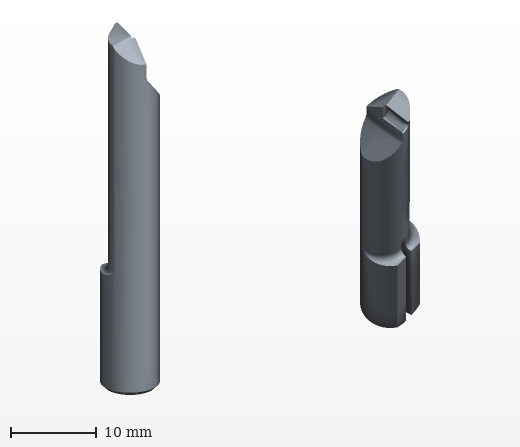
import cadquery as cq
import math

total_length = 45.0
shank_radius = 3.5
flat_x = -2.85
end_chamfer = 0.5

neck_radius = 3.15
neck_center_x = 1.1
neck_base_z = 14.75
neck_fillet = 0.8

groove_floor_width = 0.7
groove_mouth_width = 1.0
groove_floor_x = -1.75
groove_runout_z = 15.05
groove_top_z = 17.3

recess_y = 0.1
recess_corner_z = 39.9
recess_slope = math.radians(48)
recess_fillet = 1.0

tip = cq.Vector(-2.8, 0.0, total_length)
top_fall_x = 0.102
top_fall_y = 0.145
back_chamfer_x = 1.0
back_chamfer_z = 44.4
back_fall = 1.0
relief_contact_angle = math.radians(40.7)
relief_normal = cq.Vector(-1.47, -0.2, -0.405)
ledge_z = 41.65
ledge_rise = 0.45

notch_end_x = 1.0
notch_root_y = -0.75
notch_root_z = 42.5
notch_lower_z = 41.9
notch_yaw = -2.9

margin = 10.0
overrun = 1.0
tip_stock = 0.1
neck_left_x = neck_center_x - neck_radius


def half_space(origin, normal):
    """Large block on the side of a plane that its normal points to."""
    plane = cq.Plane(origin=origin, normal=normal)
    return cq.Workplane(plane).rect(4 * margin, 4 * margin).extrude(4 * margin)


def make_shank_bar():
    bar = cq.Workplane("XY").circle(shank_radius).extrude(total_length + overrun)
    return bar.faces("<Z").chamfer(end_chamfer)


def make_neck_envelope():
    """Wide foot below the neck, a concave flare, then the neck round."""
    flare_radius = neck_radius + neck_fillet
    arc_offset = neck_fillet * (1 - math.sqrt(0.5))
    foot_radius = 2 * shank_radius
    profile = (
        cq.Workplane("XZ")
        .moveTo(0, 0)
        .lineTo(foot_radius, 0)
        .lineTo(foot_radius, neck_base_z)
        .lineTo(flare_radius, neck_base_z)
        .threePointArc(
            (neck_radius + arc_offset, neck_base_z + arc_offset),
            (neck_radius, neck_base_z + neck_fillet),
        )
        .lineTo(neck_radius, total_length + overrun)
        .lineTo(0, total_length + overrun)
        .close()
    )
    return profile.revolve(360, (0, 0, 0), (0, 1, 0)).translate((neck_center_x, 0, 0))


def make_tip_block():
    """Upright block between the neck and the tip, its outer side tangent to the neck."""
    contact_x = neck_center_x - neck_radius * math.cos(relief_contact_angle)
    contact_y = -neck_radius * math.sin(relief_contact_angle)
    outer_x = tip.x - tip_stock
    outer_y = contact_y + (contact_x - outer_x) / math.tan(relief_contact_angle)
    outline = [
        (contact_x, contact_y),
        (outer_x, outer_y),
        (outer_x, recess_y),
        (contact_x, recess_y),
    ]
    block = cq.Workplane("XY").polyline(outline).close().extrude(total_length + overrun)
    return block.cut(half_space((neck_left_x, 0, ledge_z), (ledge_rise, 0, -1)))


def make_groove():
    flare = (groove_mouth_width - groove_floor_width) / (groove_floor_x - flat_x)
    outer_x = flat_x - overrun
    outer_width = groove_floor_width + flare * (groove_floor_x - outer_x)
    section = [
        (groove_floor_x, -groove_floor_width / 2),
        (groove_floor_x, groove_floor_width / 2),
        (outer_x, outer_width / 2),
        (outer_x, -outer_width / 2),
    ]
    floor_profile = [
        (groove_floor_x, 0),
        (groove_floor_x, groove_runout_z),
        (neck_left_x, groove_top_z),
        (outer_x, groove_top_z),
        (outer_x, 0),
    ]
    channel = cq.Workplane("XY").polyline(section).close().extrude(groove_top_z)
    side = cq.Workplane("XZ").polyline(floor_profile).close().extrude(margin, both=True)
    return channel.intersect(side)


def make_recess():
    low_z = recess_corner_z - margin * math.tan(recess_slope)
    body = (
        cq.Workplane("YZ")
        .moveTo(recess_y, recess_corner_z)
        .lineTo(recess_y + margin, low_z)
        .lineTo(recess_y + margin, total_length + margin)
        .lineTo(recess_y, total_length + margin)
        .close()
        .extrude(margin, both=True)
    )
    corner = cq.selectors.NearestToPointSelector((0, recess_y, recess_corner_z))
    return body.edges(corner).fillet(recess_fillet)


def make_relief():
    """Clearance under the cutting edge, down to the sloping ledge on the neck."""
    outside = half_space(tip, relief_normal)
    above_ledge = half_space((neck_left_x, 0, ledge_z), (-ledge_rise, 0, 1))
    return outside.intersect(above_ledge)


def make_chip_notch():
    """V-notch whose upper side is the rake face, leaning in below the tip."""
    rake_lean = (tip.y - notch_root_y) / (tip.z - notch_root_z)
    return (
        cq.Workplane("YZ", origin=(tip.x - overrun, 0, 0))
        .moveTo(notch_root_y, notch_root_z)
        .lineTo(tip.y + rake_lean * overrun, tip.z + overrun)
        .lineTo(recess_y + overrun, tip.z + overrun)
        .lineTo(recess_y + overrun, notch_lower_z)
        .lineTo(recess_y, notch_lower_z)
        .close()
        .extrude(notch_end_x - tip.x + overrun)
        .rotate((tip.x, tip.y, 0), (tip.x, tip.y, 1), notch_yaw)
    )


body = make_shank_bar().intersect(make_neck_envelope())
body = body.cut(half_space((flat_x, 0, 0), (-1, 0, 0)))
body = body.union(make_tip_block())
body = body.cut(make_groove())
body = body.cut(make_recess())
body = body.cut(make_relief())
body = body.cut(make_chip_notch())
body = body.cut(half_space(tip, (top_fall_x, -top_fall_y, 1)))
body = body.cut(half_space((back_chamfer_x, 0, back_chamfer_z), (back_fall, 0, 1)))
result = body